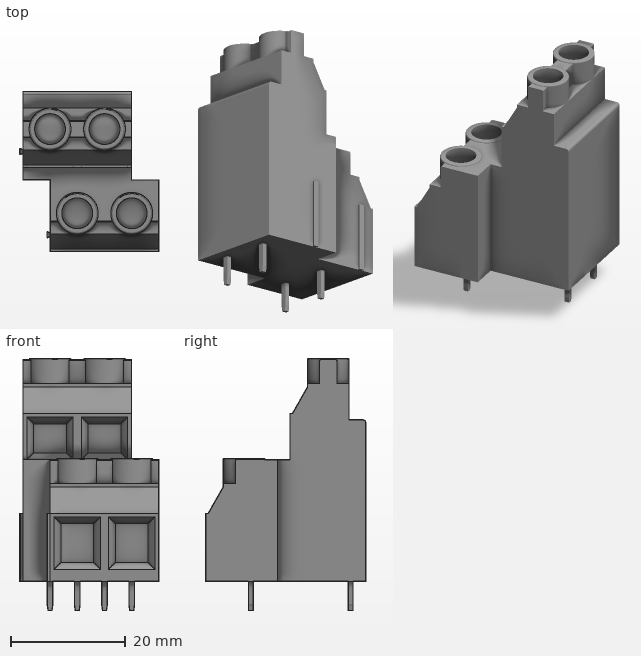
import cadquery as cq


pitch = 9.53
ways = 2
tier_width = ways * pitch
front_shift_x = pitch / 2
tier_step_y = 14.75
tier_step_z = 17.45
step_face_y = 12.55
depth = 28.0

deck_z = 21.3
shoulder_z = 17.1
slope_top_z = 16.5
slope_bottom_z = 11.9
slope_bottom_y = 0.45
tower_front_y = 3.05

collar_radius = 3.65
collar_height = 21.5
collar_fillet = 0.2
screw_hole_radius = 2.7
screw_hole_depth = 3.15
bar_half_width = 1.5
bar_chamfer = 0.15
collar_y = tower_front_y + collar_radius

back_ledge_z = 28.25
back_fillet = 0.55
tower_back_y = tier_step_y + collar_y + collar_radius

entry_width = 8.1
entry_inset = 1.2
entry_depth = 1.85
entry_top_z = 11.3
front_entry_bottom_z = 2.1

rib_height = slope_bottom_z
rib_depth = 0.57
rib_outer_width = 1.1
rib_neck_width = 0.65
rib_edge_chamfer = 0.15
front_rib_y = 2.95
rear_rib_y = 17.5

pin_width = 1.0
pin_thickness = 0.9
pin_length = 5.1
pin_tip_width = 0.7
pin_tip_length = 1.0
front_pin_y = 7.9
rear_pin_y = 25.35


def way_centers(left_x):
    """X positions of the terminal ways of a tier that starts at left_x."""
    return [left_x + (i + 0.5) * pitch for i in range(ways)]


def extrude_profile(points, left_x):
    """Extrude a (Y, Z) outline along X over the width of one tier."""
    return cq.Workplane("YZ").workplane(offset=left_x).polyline(points).close().extrude(tier_width)


def stepped_front(base_y, base_z):
    """Outline points up the front of a tier, from the wire face to the bar's top edge."""
    bar_front_y = base_y + collar_y - bar_half_width
    bar_top_z = base_z + deck_z
    return [
        (base_y, base_z + slope_bottom_z),
        (base_y + slope_bottom_y, base_z + slope_bottom_z),
        (base_y + tower_front_y, base_z + slope_top_z),
        (base_y + tower_front_y, base_z + shoulder_z),
        (bar_front_y, base_z + shoulder_z),
        (bar_front_y, bar_top_z - bar_chamfer),
        (bar_front_y + bar_chamfer, bar_top_z),
    ]


def front_tier():
    points = [(0, 0), *stepped_front(0, 0), (step_face_y, deck_z), (step_face_y, 0)]
    return extrude_profile(points, front_shift_x)


def rear_tier():
    bar_back_y = tier_step_y + collar_y + bar_half_width
    bar_top_z = tier_step_z + deck_z
    rear_shoulder_z = tier_step_z + shoulder_z
    points = [
        (step_face_y, 0),
        (step_face_y, deck_z),
        (tier_step_y, deck_z),
        *stepped_front(tier_step_y, tier_step_z),
        (bar_back_y - bar_chamfer, bar_top_z),
        (bar_back_y, bar_top_z - bar_chamfer),
        (bar_back_y, rear_shoulder_z),
        (tower_back_y, rear_shoulder_z),
        (tower_back_y, back_ledge_z),
        (depth, back_ledge_z),
        (depth, 0),
    ]
    return extrude_profile(points, 0).faces(">Y").edges(">Z").fillet(back_fillet)


def collar(x, base_y, base_z):
    """Screw collar standing on the shoulder of a tier."""
    return (
        cq.Workplane("XY", origin=(x, base_y + collar_y, base_z + shoulder_z))
        .circle(collar_radius)
        .extrude(collar_height - shoulder_z)
        .faces(">Z")
        .fillet(collar_fillet)
    )


def screw_hole(x, base_y, base_z):
    """Blind hole down from the top of a collar."""
    return (
        cq.Workplane("XY", origin=(x, base_y + collar_y, base_z + collar_height))
        .circle(screw_hole_radius)
        .extrude(-screw_hole_depth)
    )


def wire_entry(x, face_y, bottom_z, top_z):
    """Rectangular funnel that narrows inwards from a wire face."""
    height = top_z - bottom_z
    center_z = (top_z + bottom_z) / 2
    return (
        cq.Workplane("XZ", origin=(x, face_y, center_z))
        .rect(entry_width, height)
        .workplane(offset=-entry_depth)
        .rect(entry_width - 2 * entry_inset, height - 2 * entry_inset)
        .loft(ruled=True)
    )


def dovetail_rib(side_x, y):
    """Upright rib on a left side, flared outwards from its neck, with blunted outer edges."""
    outer_x = side_x - rib_depth
    widest_x = outer_x + rib_edge_chamfer
    half_neck = rib_neck_width / 2
    half_widest = rib_outer_width / 2
    half_face = half_widest - rib_edge_chamfer
    points = [
        (side_x, y - half_neck),
        (widest_x, y - half_widest),
        (outer_x, y - half_face),
        (outer_x, y + half_face),
        (widest_x, y + half_widest),
        (side_x, y + half_neck),
    ]
    return cq.Workplane("XY").polyline(points).close().extrude(rib_height)


def make_housing():
    body = front_tier().union(rear_tier())
    body = body.union(dovetail_rib(front_shift_x, front_rib_y))
    body = body.union(dovetail_rib(0, rear_rib_y))
    tiers = [
        (front_shift_x, 0, 0, front_entry_bottom_z),
        (0, tier_step_y, tier_step_z, deck_z),
    ]
    for left_x, base_y, base_z, entry_bottom_z in tiers:
        for x in way_centers(left_x):
            body = body.union(collar(x, base_y, base_z))
            body = body.cut(screw_hole(x, base_y, base_z))
            body = body.cut(wire_entry(x, base_y, entry_bottom_z, base_z + entry_top_z))
    return body


def make_pin(x, y):
    """Flat pin hanging from the underside, its tip tapered across the width."""
    half_width = pin_width / 2
    half_tip = pin_tip_width / 2
    taper_z = pin_tip_length - pin_length
    points = [
        (-half_width, 0),
        (-half_width, taper_z),
        (-half_tip, -pin_length),
        (half_tip, -pin_length),
        (half_width, taper_z),
        (half_width, 0),
    ]
    outline = cq.Workplane("XZ", origin=(x, y, 0)).polyline(points).close()
    return outline.extrude(pin_thickness / 2, both=True)


housing = make_housing()

pins = []
for row_left_x, row_y in [(front_shift_x, front_pin_y), (0, rear_pin_y)]:
    for pin_x in way_centers(row_left_x):
        pins.append(make_pin(pin_x, row_y))

result = cq.Compound.makeCompound([housing.val(), *[pin.val() for pin in pins]])